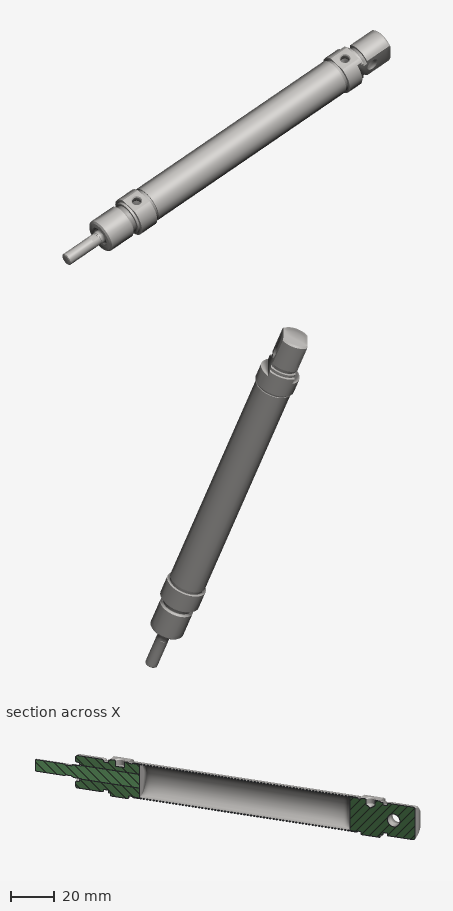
import cadquery as cq
import math

head_dia = 18.9
tube_dia = 17.2
tube_bore_dia = 16.0
neck_dia = 13.6
rod_dia = 5.9
collar_dia = 6.5
eye_width = 12.0

collar_end = 18.7
nose_front = 20.0
nose_back = 33.5
neck_front = 34.2
neck_back = 36.3
front_head_front = 37.5
front_head_back = 46.5
tube_front = 48.2
tube_back = 160.3
rear_head_front = 161.8
eye_flat_end = 169.2
rear_head_back = 171.6
eye_groove_front = 173.0
eye_groove_back = 175.0
rear_end = 189.0
spigot_length = 3.8

edge_chamfer = 0.8
recess_dia = 9.0
recess_mouth_dia = 10.0
recess_depth = 1.9
clearance_dia = 7.2
clearance_depth = 2.8
pin_hole_dia = 6.0
pin_hole_y = 178.2
port_flat_z = 8.5
port_dia = 4.2
port_mouth_dia = 5.1
port_depth = 2.8
front_port_y = 42.1
rear_port_y = 166.7
drill_point_angle = 118.0
rod_chamfer = 0.4
wrench_width = 5.1
wrench_front = 15.0
wrench_back = 18.1


def turned(profile):
    """Revolve (radius, y) points, closed along the axis, about Y."""
    outline = [(0, profile[0][1]), *profile, (0, profile[-1][1])]
    return cq.Workplane("XY").polyline(outline).close().revolve(360, (0, 0, 0), (0, 1, 0))


def block(width, height, y_front, y_back, x=0, z=0):
    """Box centred on (x, z), between two stations along Y."""
    middle = (y_front + y_back) / 2
    return cq.Workplane("XY").box(width, y_back - y_front, height).translate((x, middle, z))


def cut_port(head, port_y, y_front, y_back, point_depth=0):
    """Mill the port flat on top of a head and drill a port with a countersunk mouth."""
    head = head.cut(block(head_dia, head_dia, y_front, y_back, z=port_flat_z + head_dia / 2))
    radius = port_dia / 2
    mouth_radius = port_mouth_dia / 2
    floor_z = port_flat_z - port_depth
    drill_outline = [
        (0, floor_z - point_depth),
        (radius, floor_z),
        (radius, port_flat_z - (mouth_radius - radius)),
        (mouth_radius, port_flat_z),
        (0, port_flat_z),
    ]
    drill = cq.Workplane("XZ").polyline(drill_outline).close().revolve(360, (0, 0, 0), (0, 1, 0))
    return head.cut(drill.translate((0, port_y, 0)))


def make_tube():
    outer = turned([(tube_dia / 2, tube_front), (tube_dia / 2, tube_back)])
    bore = turned([(tube_bore_dia / 2, tube_front), (tube_bore_dia / 2, tube_back)])
    return outer.cut(bore)


def make_front_head():
    nose_r = tube_bore_dia / 2
    neck_r = neck_dia / 2
    head_r = head_dia / 2
    head = turned([
        (nose_r - edge_chamfer, nose_front),
        (nose_r, nose_front + edge_chamfer),
        (nose_r, nose_back),
        (nose_r - edge_chamfer, neck_front),
        (neck_r, neck_front),
        (neck_r, neck_back),
        (nose_r, neck_back),
        (nose_r, front_head_front),
        (head_r, front_head_front),
        (head_r, front_head_back),
        (nose_r, front_head_back),
        (nose_r, tube_front + spigot_length),
    ])
    head = cut_port(head, front_port_y, front_head_front, front_head_back)
    recess_r = recess_dia / 2
    mouth_r = recess_mouth_dia / 2
    recess = turned([
        (mouth_r, nose_front),
        (recess_r, nose_front + mouth_r - recess_r),
        (recess_r, nose_front + recess_depth),
        (clearance_dia / 2, nose_front + recess_depth),
        (clearance_dia / 2, nose_front + clearance_depth),
    ])
    rod_hole = turned([(collar_dia / 2, nose_front), (collar_dia / 2, tube_front + spigot_length)])
    return head.cut(recess).cut(rod_hole)


def make_rear_head():
    eye_r = tube_bore_dia / 2
    neck_r = neck_dia / 2
    head_r = head_dia / 2
    head = turned([
        (eye_r, tube_back - spigot_length),
        (eye_r, rear_head_front),
        (head_r, rear_head_front),
        (head_r, rear_head_back),
        (eye_r, rear_head_back),
        (eye_r, eye_groove_front),
        (neck_r, eye_groove_front),
        (neck_r, eye_groove_back),
        (eye_r, eye_groove_back),
        (eye_r, rear_end - edge_chamfer),
        (eye_r - edge_chamfer, rear_end),
    ])
    for side in (-1, 1):
        flat_x = side * (eye_width + head_dia) / 2
        head = head.cut(block(head_dia, head_dia, eye_flat_end, rear_end, x=flat_x))
    pin_hole = cq.Workplane("YZ").center(pin_hole_y, 0).circle(pin_hole_dia / 2)
    head = head.cut(pin_hole.extrude(head_dia, both=True))
    point_depth = port_dia / 2 / math.tan(math.radians(drill_point_angle / 2))
    return cut_port(head, rear_port_y, rear_head_front, rear_head_back, point_depth)


def make_rod():
    rod_r = rod_dia / 2
    collar_r = collar_dia / 2
    rod = turned([
        (rod_r - rod_chamfer, 0),
        (rod_r, rod_chamfer),
        (rod_r, collar_end),
        (collar_r, collar_end),
        (collar_r, tube_front + spigot_length),
    ])
    for side in (-1, 1):
        flat_z = side * (wrench_width + rod_dia) / 2
        rod = rod.cut(block(rod_dia, rod_dia, wrench_front, wrench_back, z=flat_z))
    return rod


tube = make_tube()
front_head = make_front_head()
rear_head = make_rear_head()
rod = make_rod()

result = cq.Compound.makeCompound([tube.val(), front_head.val(), rear_head.val(), rod.val()])